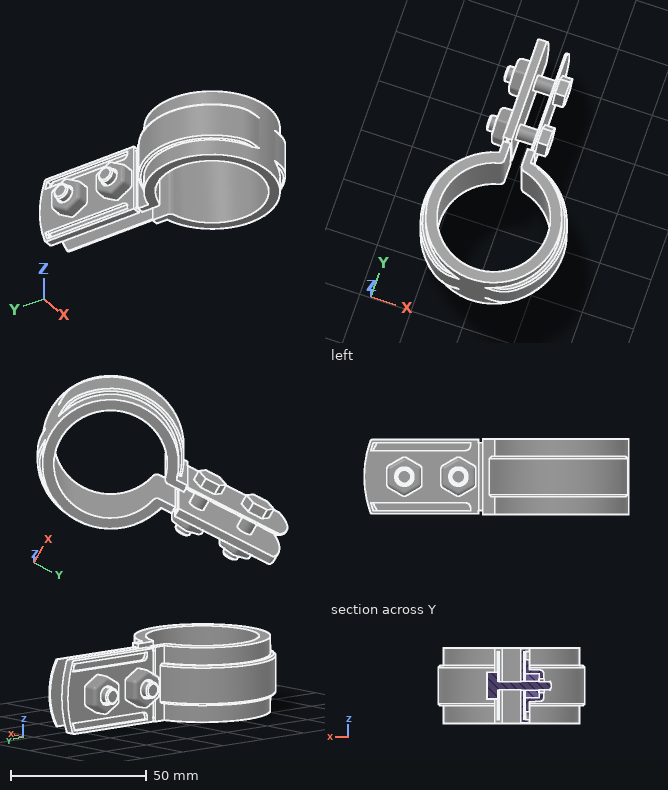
import cadquery as cq
import math


RING_HEIGHT = 28.0
BORE_RADIUS = 20.9
RING_RADIUS = 25.1
GAP = 6.65
FLANGE_THICKNESS = 2.8
FLANGE_END_Y = 28.9
GAP_CORNER_RADIUS = 2.0

BAND_RADIUS = 27.1
BAND_HEIGHT = 15.0
BAND_CHAMFER = 0.8
BAND_BLEND_RADIUS = 13.9
BAND_BLEND_START_X = 15.8

STRAP_THICKNESS = 0.7
STRAP_WIDTH = 25.1
STRAP_COVER = 1.2
STRAP_END_Y = 71.4
STRAP_END_RADIUS = 24.0

PLATE_THICKNESS = 3.3
PLATE_HEIGHT = 27.5
PLATE_START_Y = 30.4
PLATE_END_Y = 72.7
PLATE_END_RADIUS = 39.1
PLATE_CORNER_RADIUS = 1.0
GROOVE_WIDTH = 2.9
GROOVE_CORNER_RADIUS = 2.0
GROOVE_START_Y = 33.3
GROOVE_END_MARGIN = 1.3

CAP_ACROSS_FLATS = 12.9
CAP_HEIGHT = 5.4
CAP_DRAFT = 1.5
CAP_FILLET = 1.5
CAP_HOLE_DIAMETER = 7.0

BOLT_DIAMETER = 6.0
BOLT_TIP_DIAMETER = 4.9
BOLT_TIP_X = -14.9
BOLT_CENTRES_Y = (37.8, 57.8)
HEX_ACROSS_FLATS = 10.0
HEAD_THICKNESS = 3.9
NUT_THICKNESS = 5.0

GAP_HALF = GAP / 2
FLANGE_OUTER_X = GAP_HALF + FLANGE_THICKNESS
STRAP_INNER_X = GAP_HALF + STRAP_COVER
STRAP_OUTER_X = STRAP_INNER_X + STRAP_THICKNESS
STRAP_INNER_RADIUS = BORE_RADIUS + STRAP_COVER
STRAP_OUTER_RADIUS = STRAP_INNER_RADIUS + STRAP_THICKNESS
PLATE_INNER_X = -GAP_HALF
PLATE_OUTER_X = PLATE_INNER_X - PLATE_THICKNESS


def upright_box(x_start, x_end, y_start, y_end, height):
    """Box between two X and two Y places, centred on Z = 0."""
    box = cq.Workplane("XY").box(x_end - x_start, y_end - y_start, height, centered=(False, False, True))
    return box.translate((x_start, y_start, 0))


def disc(radius, height):
    """Disc about the ring axis, centred on Z = 0."""
    return cq.Workplane("XY").circle(radius).extrude(height / 2, both=True)


def x_cylinder(diameter, x_start, x_end, y):
    """Cylinder along X at a bolt place."""
    return cq.Workplane("YZ", origin=(x_start, 0, 0)).center(y, 0).circle(diameter / 2).extrude(x_end - x_start)


def corner_diameter(across_flats):
    return across_flats / math.cos(math.radians(30))


def end_disc(radius, end_y, x_start, x_end):
    """Disc along X whose edge forms the rounded end of a plate at end_y."""
    return x_cylinder(2 * radius, x_start, x_end, end_y - radius)


def make_strap():
    """Thin open loop with two straight ends, each with a round tip."""
    loop = disc(STRAP_OUTER_RADIUS, STRAP_WIDTH).cut(disc(STRAP_INNER_RADIUS, STRAP_WIDTH))
    loop = loop.cut(upright_box(-STRAP_INNER_X, STRAP_INNER_X, 0, STRAP_OUTER_RADIUS, STRAP_WIDTH))
    leg_start_y = math.sqrt(STRAP_INNER_RADIUS**2 - STRAP_INNER_X**2)
    leg = upright_box(STRAP_INNER_X, STRAP_OUTER_X, leg_start_y, STRAP_END_Y, STRAP_WIDTH)
    tip_start_y = STRAP_END_Y - STRAP_END_RADIUS
    tip_zone = upright_box(STRAP_INNER_X, STRAP_OUTER_X, tip_start_y, STRAP_END_Y, STRAP_WIDTH)
    leg = leg.cut(tip_zone.cut(end_disc(STRAP_END_RADIUS, STRAP_END_Y, STRAP_INNER_X, STRAP_OUTER_X)))
    strap = loop.union(leg).union(leg.mirror("YZ"))
    for y in BOLT_CENTRES_Y:
        strap = strap.cut(x_cylinder(BOLT_DIAMETER, -STRAP_OUTER_X, STRAP_OUTER_X, y))
    return strap


def make_band():
    """Raised band whose two front ends blend into short flats that run out on the ring."""
    blend_start_y = -math.sqrt(BAND_RADIUS**2 - BAND_BLEND_START_X**2)
    blend_ratio = (BAND_RADIUS - BAND_BLEND_RADIUS) / BAND_RADIUS
    centre_x = BAND_BLEND_START_X * blend_ratio
    centre_y = blend_start_y * blend_ratio
    flat_y = centre_y - BAND_BLEND_RADIUS
    mid_angle = (math.atan2(blend_start_y, BAND_BLEND_START_X) - math.pi / 2) / 2
    mid_x = centre_x + BAND_BLEND_RADIUS * math.cos(mid_angle)
    mid_y = centre_y + BAND_BLEND_RADIUS * math.sin(mid_angle)
    band = (
        cq.Workplane("XY", origin=(0, 0, -BAND_HEIGHT / 2))
        .moveTo(-centre_x, flat_y)
        .lineTo(centre_x, flat_y)
        .threePointArc((mid_x, mid_y), (BAND_BLEND_START_X, blend_start_y))
        .threePointArc((0, BAND_RADIUS), (-BAND_BLEND_START_X, blend_start_y))
        .threePointArc((-mid_x, mid_y), (-centre_x, flat_y))
        .close()
        .extrude(BAND_HEIGHT)
    )
    return band.faces("|Z").edges().chamfer(BAND_CHAMFER)


def make_ring(strap):
    """Rubber ring with band and end flanges, hollowed for the strap inside it."""
    ring = disc(RING_RADIUS, RING_HEIGHT).union(make_band())
    ring = ring.union(upright_box(-FLANGE_OUTER_X, FLANGE_OUTER_X, 0, FLANGE_END_Y, RING_HEIGHT))
    ring = ring.cut(disc(BORE_RADIUS, RING_HEIGHT))
    ring = ring.cut(upright_box(-GAP_HALF, GAP_HALF, 0, FLANGE_END_Y, RING_HEIGHT))
    gap_corner_y = math.sqrt(BORE_RADIUS**2 - GAP_HALF**2)
    for x in (-GAP_HALF, GAP_HALF):
        ring = ring.edges(cq.selectors.NearestToPointSelector((x, gap_corner_y, 0))).fillet(GAP_CORNER_RADIUS)
    return ring.cut(strap)


def make_cap(y):
    """Drafted hexagonal cap that stands on the plate over one nut."""
    return (
        cq.Workplane("ZY", origin=(PLATE_OUTER_X, y, 0))
        .polygon(6, corner_diameter(CAP_ACROSS_FLATS))
        .extrude(CAP_HEIGHT, taper=CAP_DRAFT)
        .edges("not #X")
        .fillet(CAP_FILLET)
        .faces("<X")
        .edges()
        .fillet(CAP_FILLET)
    )


def make_groove():
    """Groove along the upper strap edge that bares the strap and, past its tip, is as deep as its far face."""
    groove = upright_box(PLATE_OUTER_X, -STRAP_INNER_X, GROOVE_START_Y, PLATE_END_Y, GROOVE_WIDTH)
    groove = groove.translate((0, 0, (STRAP_WIDTH - GROOVE_WIDTH) / 2))
    groove = groove.edges("|X").edges("<Y").edges("<Z").fillet(GROOVE_CORNER_RADIUS)
    groove_end_radius = PLATE_END_RADIUS - GROOVE_END_MARGIN
    groove_end_y = PLATE_END_Y - GROOVE_END_MARGIN
    return groove.intersect(end_disc(groove_end_radius, groove_end_y, PLATE_OUTER_X, PLATE_INNER_X))


def make_plate(strap):
    """Plastic plate over one strap end, with round tip, two grooves and two nut caps."""
    plate = upright_box(PLATE_OUTER_X, PLATE_INNER_X, PLATE_START_Y, PLATE_END_Y, PLATE_HEIGHT)
    plate = plate.intersect(end_disc(PLATE_END_RADIUS, PLATE_END_Y, PLATE_OUTER_X, PLATE_INNER_X))
    plate = plate.edges("|X").edges(">Y").fillet(PLATE_CORNER_RADIUS)
    groove = make_groove()
    plate = plate.cut(groove).cut(groove.mirror("XY"))
    for y in BOLT_CENTRES_Y:
        plate = plate.union(make_cap(y))
        plate = plate.cut(x_cylinder(BOLT_DIAMETER, -STRAP_OUTER_X, PLATE_INNER_X, y))
        plate = plate.cut(x_cylinder(CAP_HOLE_DIAMETER, PLATE_OUTER_X - CAP_HEIGHT, -STRAP_OUTER_X, y))
        plate = plate.cut(make_nut_blank(y))
    return plate.cut(strap)


def make_nut_blank(y):
    """Solid hexagon of a nut, which is also the shape of its pocket in the plate."""
    return (
        cq.Workplane("ZY", origin=(-STRAP_OUTER_X, y, 0))
        .polygon(6, corner_diameter(HEX_ACROSS_FLATS))
        .extrude(NUT_THICKNESS)
    )


def make_nut(y):
    return make_nut_blank(y).cut(x_cylinder(BOLT_DIAMETER, -STRAP_OUTER_X - NUT_THICKNESS, -STRAP_OUTER_X, y))


def make_bolt(y):
    """Hexagon bolt with its head against the strap and a chamfered tip."""
    shank = x_cylinder(BOLT_DIAMETER, BOLT_TIP_X, STRAP_OUTER_X, y)
    shank = shank.faces("<X").chamfer((BOLT_DIAMETER - BOLT_TIP_DIAMETER) / 2)
    head = (
        cq.Workplane("YZ", origin=(STRAP_OUTER_X, y, 0))
        .polygon(6, corner_diameter(HEX_ACROSS_FLATS))
        .extrude(HEAD_THICKNESS)
    )
    return shank.union(head)


strap = make_strap()
ring = make_ring(strap)
plate = make_plate(strap)
nuts = [make_nut(y) for y in BOLT_CENTRES_Y]
bolts = [make_bolt(y) for y in BOLT_CENTRES_Y]

result = cq.Compound.makeCompound(
    [strap.val(), ring.val(), plate.val(), *[nut.val() for nut in nuts], *[bolt.val() for bolt in bolts]]
)